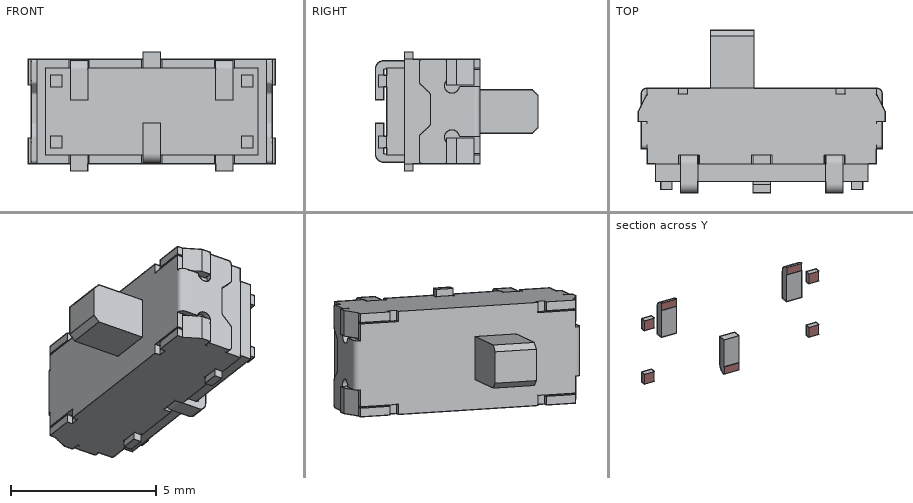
import cadquery as cq
import math


overall_length = 8.5
housing_length = 7.89
housing_depth = 2.6
housing_height = 3.6
half_length = housing_length / 2
half_height = housing_height / 2

base_length = 7.31
base_height = 3.0
base_depth = 0.61
peg_size = 0.4
peg_length = 0.28
peg_spacing_x = 6.56
peg_spacing_z = 2.1

knob_width = 1.505
knob_length = 2.0
knob_offset_x = -1.01
knob_chamfer = 0.2

terminal_thickness = 0.3
terminal_width = 0.6
terminal_pitch = 2.5
terminal_top = 1.75
terminal_bottom = -2.05
terminal_front = -1.0
terminal_tail_end = 0.4
slot_width = 0.7

sheet = 0.2
end_plate_front = 0.51
end_plate_recess = 0.89
recess_mouth_top = 0.98
recess_floor_top = 0.61
recess_floor_bottom = -0.47
recess_mouth_bottom = -0.825
end_plate_rounding = 0.13
tongue_half_height = 0.86
relief_radius = 0.255
relief_center_y = 1.63
relief_center_z = 0.88
relief_blend = 0.05
plate_root = 0.425

ear_front = 1.45
ear_crest_back = 1.79
ear_height = 0.89
shoulder_rounding = 0.08

notch_width = 0.315
notch_offset = 2.71
notch_start = 0.31
slit_height = 0.05


def box(x_range, y_range, z_range):
    """Box given by its (low, high) limits along each axis."""
    (x0, x1), (y0, y1), (z0, z1) = x_range, y_range, z_range
    return cq.Workplane("XY").box(x1 - x0, y1 - y0, z1 - z0, centered=False).translate((x0, y0, z0))


def centered(size, middle=0.0):
    """Limits of a span of the given size about its middle."""
    return (middle - size / 2, middle + size / 2)


def mirrored_in_z(body):
    """A body together with its mirror image below the XY plane."""
    return body.union(body.mirror("XY"))


def round_corners(body, y, z_values, radius):
    """Fillet the edges along X that lie at the given y and at each of the z values."""
    reach = 0.01
    for z in z_values:
        low = (0, y - reach, z - reach)
        high = (overall_length, y + reach, z + reach)
        edge_zone = cq.selectors.BoxSelector(low, high)
        body = body.edges("|X").edges(edge_zone).fillet(radius)
    return body


def make_housing():
    return box(centered(housing_length), (0, housing_depth), centered(housing_height))


def make_base():
    base = box(centered(base_length), (-base_depth, 0), centered(base_height))
    for x in centered(peg_spacing_x):
        for z in centered(peg_spacing_z):
            peg_span = (-base_depth - peg_length, -base_depth)
            base = base.union(box(centered(peg_size, x), peg_span, centered(peg_size, z)))
    return base


def make_knob():
    knob = box(
        centered(knob_width, knob_offset_x),
        (housing_depth, housing_depth + knob_length),
        centered(knob_width),
    )
    return knob.faces(">Y").edges("|X").chamfer(knob_chamfer)


def make_terminal(x):
    """Straight pin pointing down, bent over the top of the base into a hooked tail."""
    outline = [
        (terminal_thickness, terminal_bottom),
        (terminal_thickness, terminal_top),
        (terminal_front, terminal_top),
        (terminal_front, terminal_tail_end),
        (terminal_front + terminal_thickness, terminal_tail_end),
        (terminal_front + terminal_thickness, terminal_top - terminal_thickness),
        (0, terminal_top - terminal_thickness),
        (0, terminal_bottom),
    ]
    strip = cq.Workplane("YZ").polyline(outline).close().extrude(terminal_width / 2, both=True)
    strip = strip.faces(">Z").edges("|X").fillet(terminal_thickness)
    return strip.translate((x, 0, 0))


def make_end_plate():
    """Plate on the +X end, wrapping round onto the back of the housing."""
    outline = [
        (housing_depth, -tongue_half_height),
        (ear_front, -tongue_half_height),
        (ear_front, -half_height),
        (end_plate_front, -half_height),
        (end_plate_front, recess_mouth_bottom),
        (end_plate_recess, recess_floor_bottom),
        (end_plate_recess, recess_floor_top),
        (end_plate_front, recess_mouth_top),
        (end_plate_front, half_height),
        (ear_front, half_height),
        (ear_front, tongue_half_height),
        (housing_depth, tongue_half_height),
    ]
    plate = cq.Workplane("YZ", origin=(half_length - plate_root, 0, 0))
    plate = plate.polyline(outline).close().extrude(plate_root + sheet)
    outer_corners = (half_height, recess_mouth_top, recess_mouth_bottom, -half_height)
    inner_corners = (recess_floor_top, recess_floor_bottom)
    plate = round_corners(plate, end_plate_front, outer_corners, end_plate_rounding)
    plate = round_corners(plate, end_plate_recess, inner_corners, end_plate_rounding)
    plate = round_corners(plate, ear_front, centered(housing_height), shoulder_rounding)
    plate = plate.faces(">Y").edges(">X").fillet(sheet)

    relief = cq.Workplane("YZ", origin=(half_length, 0, 0))
    relief = relief.center(relief_center_y, relief_center_z).circle(relief_radius).extrude(sheet)
    plate = plate.cut(mirrored_in_z(relief))
    rise = relief_center_z - tongue_half_height
    relief_mouth = relief_center_y + math.sqrt(relief_radius**2 - rise**2)
    tongue_edges = (-tongue_half_height, tongue_half_height)
    return round_corners(plate, relief_mouth, tongue_edges, relief_blend)


def make_ear():
    """Ear at the top of the +X end, ramped towards the back of the housing."""
    outline = [
        (half_length, ear_front),
        (overall_length / 2, ear_front),
        (overall_length / 2, ear_crest_back),
        (half_length, housing_depth - sheet),
    ]
    ear = cq.Workplane("XY", origin=(0, 0, half_height - ear_height))
    return ear.polyline(outline).close().extrude(ear_height)


def make_end_features():
    """End plate with its two ears, on the +X end."""
    return make_end_plate().union(mirrored_in_z(make_ear()))


def make_back_relief():
    """Notch in the top back edge and the slit that runs from it to the +X end."""
    back_sheet = (housing_depth - sheet, housing_depth)
    slit_top = half_height - notch_start
    slit_bottom = slit_top - slit_height
    notch = box(centered(notch_width, notch_offset), back_sheet, (slit_bottom, half_height))
    slit = box((notch_offset, half_length), back_sheet, (slit_bottom, slit_top))
    return notch.union(slit)


def make_terminal_slot(x):
    """Slot through the full height of the housing, open at the front."""
    return box(centered(slot_width, x), (0, terminal_thickness), centered(housing_height))


back_relief = mirrored_in_z(make_back_relief())
end_features = make_end_features()

housing = make_housing()
for x in (-terminal_pitch, 0, terminal_pitch):
    housing = housing.cut(make_terminal_slot(x))
housing = housing.cut(back_relief).cut(back_relief.mirror("YZ"))

result = housing.union(make_base()).union(make_knob())
result = result.union(end_features).union(end_features.mirror("YZ"))

result = result.union(make_terminal(-terminal_pitch)).union(make_terminal(terminal_pitch))
result = result.union(make_terminal(0).mirror("XY"))